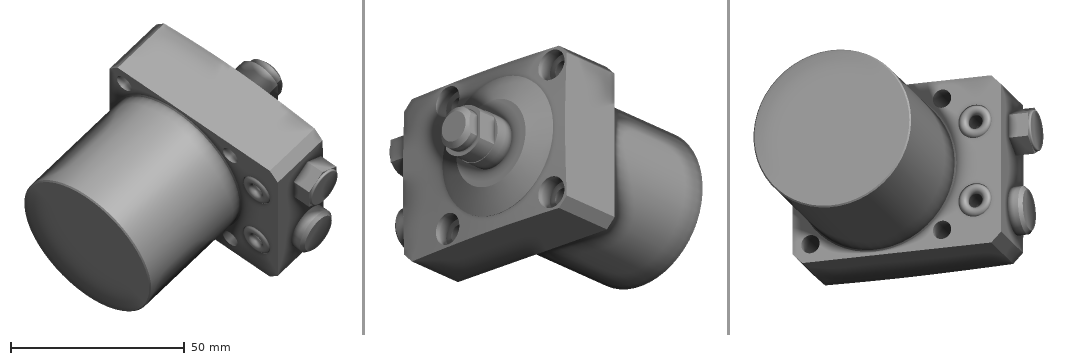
import cadquery as cq
import math


total_length = 81.5

flange_left = 25.5
flange_right = 38.0
flange_height = 51.0
corner_chamfer = 3.0
back_slope = 5.0

boss_radius = 21.3
boss_foot_y = 21.9
boss_rim_y = 22.1
boss_top_radius = 13.4
boss_top_y = 25.0

barrel_radius = 24.0
barrel_length = 40.35
barrel_edge = 0.4

hole_spacing = 40.0
hole_diameter = 5.55
counterbore_diameter = 9.5
counterbore_floor_y = 16.55

port_x = 30.0
port_z = 12.0
port_bore_y = 13.2
port_bore_diameter = 9.8
port_bore_depth = 12.2
seal_outer_radius = 5.05
seal_inner_radius = 2.1
channel_diameter = 5.2
seal_recess = 0.7

stem_length = 8.7
round_head_diameter = 14.1
round_head_length = 4.15
round_head_chamfer = 1.1
hex_across_flats = 12.15
hex_length = 5.8
cap_diameter = 12.1
cap_length = 0.7
cap_rounding = 0.4

collar_diameter = 16.0
collar_end_y = 31.1
wrench_diameter = 15.6
wrench_flats = 13.1
wrench_end_y = 37.2
tip_diameter = 12.6
tip_flats = 10.9
tip_end_y = total_length - barrel_length
tip_chamfer_length = 1.2
tip_chamfer_width = 1.7


def y_prism(outline, y_start, y_end):
    """Extrude an outline, drawn with X to the right and Z up, between two Y positions."""
    return outline(cq.Workplane("XZ", origin=(0, y_start, 0))).extrude(y_start - y_end)


def y_cylinder(diameter, y_start, y_end, x=0, z=0):
    """Cylinder parallel to Y between two Y positions."""
    return y_prism(lambda plane: plane.center(x, z).circle(diameter / 2), y_start, y_end)


def y_revolved(profile):
    """Revolve a closed (radius, y) profile about the Y axis."""
    return cq.Workplane("XY").polyline(profile).close().revolve(360, (0, 0, 0), (0, 1, 0))


def make_flange():
    """Chamfered plate with the shallow conical back face and the boss."""
    width = flange_left + flange_right
    centre_x = (flange_right - flange_left) / 2
    plate = y_prism(
        lambda plane: plane.center(centre_x, 0).rect(width, flange_height), 0, boss_top_y
    ).edges("|Y").chamfer(corner_chamfer)

    rim_radius = math.hypot(flange_right, flange_height / 2)
    rim_y = boss_foot_y - (rim_radius - boss_radius) * math.tan(math.radians(back_slope))
    envelope = y_revolved([
        (0, 0),
        (rim_radius, 0),
        (rim_radius, rim_y),
        (boss_radius, boss_foot_y),
        (boss_radius, boss_rim_y),
        (boss_top_radius, boss_top_y),
        (0, boss_top_y),
    ])
    return plate.intersect(envelope)


def make_barrel():
    """Closed cylinder in front of the mounting face, flared where it leaves the flange."""
    return y_revolved([
        (0, 0),
        (barrel_radius + barrel_edge, 0),
        (barrel_radius, -barrel_edge),
        (barrel_radius, barrel_edge - barrel_length),
        (barrel_radius - barrel_edge, -barrel_length),
        (0, -barrel_length),
    ])


def cut_mounting_holes(body):
    """Four through holes, counterbored from the back."""
    for x in (-hole_spacing / 2, hole_spacing / 2):
        for z in (-hole_spacing / 2, hole_spacing / 2):
            body = body.cut(y_cylinder(hole_diameter, 0, boss_top_y, x, z))
            body = body.cut(y_cylinder(counterbore_diameter, counterbore_floor_y, boss_top_y, x, z))
    return body


def make_port_cylinder(diameter, length, z):
    """Cylinder on a port's side bore axis, from the +X side of the flange: outward if positive."""
    return (
        cq.Workplane("YZ", origin=(flange_right, port_bore_y, z))
        .circle(diameter / 2)
        .extrude(length)
    )


def make_seal_ring(z):
    """Round ring that fills the recess of a port mouth and overhangs the channel behind it."""
    middle_radius = (seal_outer_radius + seal_inner_radius) / 2
    section_radius = (seal_outer_radius - seal_inner_radius) / 2
    diagonal = section_radius * math.sqrt(0.5)
    return (
        cq.Workplane("XY")
        .moveTo(seal_outer_radius, 0)
        .threePointArc((middle_radius, -section_radius), (seal_inner_radius, 0))
        .threePointArc((middle_radius - diagonal, diagonal), (middle_radius, section_radius))
        .close()
        .revolve(360, (0, 0, 0), (0, 1, 0))
        .translate((port_x, seal_recess, z))
    )


def add_port(body, z):
    """Port mouth with its seal ring, and the channel from it into the side bore."""
    mouth = y_cylinder(2 * seal_outer_radius, 0, seal_recess, port_x, z)
    channel = y_cylinder(channel_diameter, 0, port_bore_y, port_x, z)
    side_bore = make_port_cylinder(port_bore_diameter, -port_bore_depth, z)
    return body.cut(mouth).cut(channel).cut(side_bore).union(make_seal_ring(z))


def make_housing():
    body = make_flange().union(make_barrel())
    body = cut_mounting_holes(body)
    for z in (-port_z, port_z):
        body = add_port(body, z)
    return body


def make_round_plug(z):
    """Plug with a chamfered round head."""
    head = make_port_cylinder(round_head_diameter, round_head_length, z)
    head = head.faces(">X").chamfer(round_head_chamfer)
    return head.union(make_port_cylinder(port_bore_diameter, -stem_length, z))


def make_hex_plug(z):
    """Plug with a hexagon head, two corners of which point along Z, and a low round cap."""
    across_corners = 2 * hex_across_flats / math.sqrt(3)
    head = (
        cq.Workplane("YZ", origin=(flange_right, port_bore_y, z))
        .transformed(rotate=(0, 0, 90))
        .polygon(6, across_corners)
        .extrude(hex_length)
    )
    cap = make_port_cylinder(cap_diameter, hex_length + cap_length, z)
    cap = cap.faces(">X").edges().fillet(cap_rounding)
    return head.union(cap).union(make_port_cylinder(port_bore_diameter, -stem_length, z))


def flatten_sides(body, flats):
    """Trim a body to a width along X, leaving two parallel flats."""
    return body.intersect(cq.Workplane("XY").box(flats, 2 * total_length, total_length))


def make_rod():
    """Stepped rod end: a round collar, a section with wrench flats and a flattened tip."""
    collar = y_cylinder(collar_diameter, boss_top_y, collar_end_y)
    wrench_section = flatten_sides(
        y_cylinder(wrench_diameter, collar_end_y, wrench_end_y), wrench_flats
    )
    tip_radius = tip_diameter / 2
    tip = y_revolved([
        (0, wrench_end_y),
        (tip_radius, wrench_end_y),
        (tip_radius, tip_end_y - tip_chamfer_length),
        (tip_radius - tip_chamfer_width, tip_end_y),
        (0, tip_end_y),
    ])
    return collar.union(wrench_section).union(flatten_sides(tip, tip_flats))


housing = make_housing()
round_plug = make_round_plug(-port_z)
hex_plug = make_hex_plug(port_z)
rod = make_rod()

bodies = [housing, round_plug, hex_plug, rod]
result = cq.Compound.makeCompound([body.solids().val() for body in bodies])